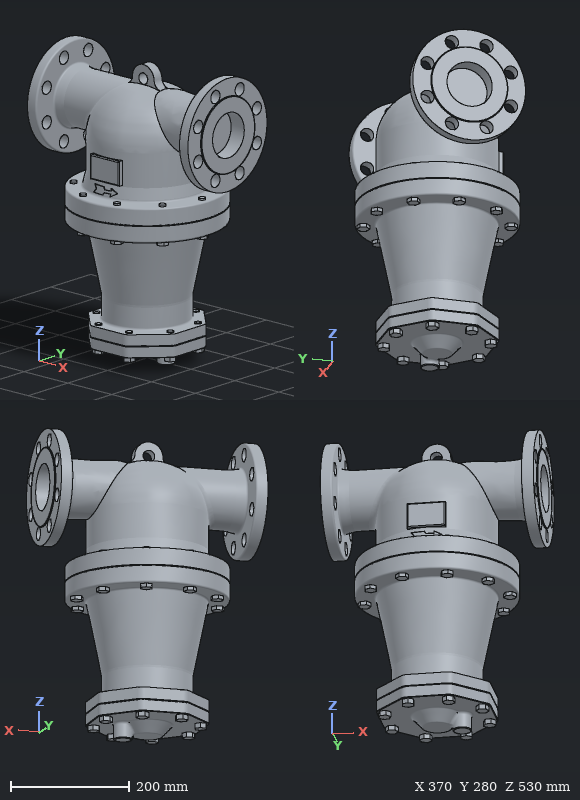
import cadquery as cq
import math


face_to_face = 370.0
end_flange_dia = 200.0
end_flange_back = 162.0
raised_face_dia = 136.0
raised_face_height = 2.0
raised_face_chamfer = 1.2
end_flange_edge = 3.5
end_bolt_circle = 160.0
end_bolt_hole_dia = 23.0
end_bolt_count = 8
bore_dia = 80.0
bore_depth = 30.0
pipe_dia = 104.0
hub_start = 142.0
hub_dia = 111.0
hub_foot_fillet = 4.0
pipe_inner_end = 20.0
pipe_blend_radius = 12.0

outlet_sections = [
    (hub_start, -pipe_dia / 2, pipe_dia / 2),
    (95.0, -48.5, 52.0),
    (65.0, -46.0, 54.5),
    (35.0, -46.0, 50.5),
]

body_dia = 208.0
dome_base_z = -38.6
dome_radius = 93.0
skirt_top_z = -100.0
skirt_base_dia = 218.0
skirt_fillet = 5.0

main_flange_dia = 280.0
main_flange_top = -125.0
main_flange_thickness = 30.0
main_flange_edge = 3.5
gasket_thickness = 1.5
gasket_inset = 4.0
main_bolt_circle = 250.0
main_bolt_count = 10

cone_end_z = -317.0
neck_dia = 155.0
neck_blend_radius = 20.0
cone_root_fillet = 4.0
neck_foot_fillet = 4.5

octagon_width = 196.0
octagon_corner_radius = 15.0
octagon_turn = 22.5
octagon_top = -359.5
octagon_thickness = 20.0
octagon_edge_chamfer = 1.0
octagon_bolt_circle = 182.0
octagon_bolt_count = 8

stud_dia = 12.0
hex_across_flats = 19.0
main_hex_turn = 0.0
octagon_hex_turn = 30.0
main_stud_height = 3.0
main_head_height = 6.5
octagon_stud_height = 1.5
octagon_head_height = 8.5

boss_top_dia = 88.0
boss_bottom_dia = 50.0
boss_height = 20.0
boss_edge_fillet = 4.0
drain_dia = 32.0
drain_x = 43.0
drain_bottom = -430.0
drain_chamfer = 1.5
cover_fillet = 5.0

lug_hole_dia = 20.0
lug_radius = 25.0
lug_center_z = 65.0
lug_thickness = 20.0
lug_foot_z = 51.0
lug_foot_left = 34.0
lug_foot_right = 42.0
lug_flare_radius = 15.5

plate_width = 66.0
plate_top = -53.0
plate_bottom = -97.0
plate_front_y = -108.0
plate_chamfer = 2.0
arrow_z = -112.0
arrow_relief = 1.5

dome_top_z = dome_base_z + dome_radius
main_gasket_top = main_flange_top - main_flange_thickness
main_flange_bottom = main_flange_top - 2 * main_flange_thickness - gasket_thickness
octagon_gasket_top = octagon_top - octagon_thickness
octagon_bottom = octagon_top - 2 * octagon_thickness - gasket_thickness


def disc(diameter, bottom, top):
    return cq.Workplane("XY").workplane(offset=bottom).circle(diameter / 2).extrude(top - bottom)


def upper_body():
    """Domed cylinder widening through a conical skirt onto the main flange."""
    radius = body_dia / 2
    flat_radius = radius - dome_radius
    arc_mid = dome_radius * math.sqrt(0.5)
    skirt_radius = skirt_base_dia / 2
    return (
        cq.Workplane("XZ")
        .moveTo(0, main_flange_top)
        .lineTo(skirt_radius + skirt_fillet, main_flange_top)
        .radiusArc((skirt_radius, main_flange_top + skirt_fillet), skirt_fillet)
        .lineTo(radius, skirt_top_z)
        .lineTo(radius, dome_base_z)
        .threePointArc((flat_radius + arc_mid, dome_base_z + arc_mid), (flat_radius, dome_top_z))
        .lineTo(0, dome_top_z)
        .close()
        .revolve(360, (0, 0, 0), (0, 1, 0))
    )


def inlet_pipe():
    length = hub_start - pipe_inner_end
    return cq.Workplane("YZ").workplane(offset=-hub_start).circle(pipe_dia / 2).extrude(length)


def outlet_pipe():
    """Pipe that bends slightly upwards as it enters the dome."""
    loft = cq.Workplane("YZ")
    previous_x = 0.0
    previous_z = 0.0
    for x, bottom, top in outlet_sections:
        center_z = (top + bottom) / 2
        loft = loft.workplane(offset=x - previous_x).center(0, center_z - previous_z)
        loft = loft.ellipse(pipe_dia / 2, (top - bottom) / 2)
        previous_x = x
        previous_z = center_z
    return loft.loft()


def end_flange():
    """Flange on the -X end with its hub, raised face, bolt holes and blind bore."""
    face = face_to_face / 2
    rim_face = face - raised_face_height
    rim = cq.Workplane("YZ").workplane(offset=-rim_face).circle(end_flange_dia / 2)
    rim = rim.extrude(rim_face - end_flange_back).faces(">X").edges().fillet(end_flange_edge)
    raised = cq.Workplane("YZ").workplane(offset=-face).circle(raised_face_dia / 2)
    raised = raised.extrude(raised_face_height).faces("<X").edges().chamfer(raised_face_chamfer)
    hub = (
        cq.Workplane("YZ").workplane(offset=-end_flange_back).circle(hub_dia / 2)
        .workplane(offset=end_flange_back - hub_start).circle(pipe_dia / 2).loft()
    )
    rim_inner_point = (-end_flange_back, 0, (end_flange_dia + hub_dia) / 4)
    holes = (
        cq.Workplane("YZ").workplane(offset=-face)
        .polarArray(end_bolt_circle / 2, 180 / end_bolt_count, 360, end_bolt_count)
        .circle(end_bolt_hole_dia / 2).extrude(face - end_flange_back)
    )
    bore = cq.Workplane("YZ").workplane(offset=-face).circle(bore_dia / 2).extrude(bore_depth)
    foot = cq.selectors.RadiusNthSelector(0)
    flange = rim.union(hub)
    flange = flange.faces(cq.selectors.NearestToPointSelector(rim_inner_point)).edges(foot)
    flange = flange.fillet(hub_foot_fillet)
    return flange.union(raised).cut(holes).cut(bore)


def main_flanges():
    upper = disc(main_flange_dia, main_gasket_top, main_flange_top)
    upper = upper.faces(">Z").edges().fillet(main_flange_edge)
    gasket_bottom = main_gasket_top - gasket_thickness
    gasket = disc(main_flange_dia - 2 * gasket_inset, gasket_bottom, main_gasket_top)
    lower = disc(main_flange_dia, main_flange_bottom, gasket_bottom)
    lower = lower.faces("<Z").edges().fillet(main_flange_edge)
    return upper.union(gasket).union(lower)


def lower_body():
    """Cone tapering to a cylindrical neck that stands on the octagonal flange."""
    neck_radius = neck_dia / 2
    profile = (
        cq.Workplane("XZ")
        .moveTo(0, octagon_top)
        .lineTo(neck_radius + neck_foot_fillet, octagon_top)
        .radiusArc((neck_radius, octagon_top + neck_foot_fillet), neck_foot_fillet)
        .lineTo(neck_radius, cone_end_z)
        .lineTo(body_dia / 2, main_flange_bottom)
        .lineTo(0, main_flange_bottom)
        .close()
        .revolve(360, (0, 0, 0), (0, 1, 0))
    )
    joint = cq.selectors.BoxSelector(
        (-body_dia, -body_dia, cone_end_z - 1), (body_dia, body_dia, cone_end_z + 1)
    )
    return profile.edges(joint).fillet(neck_blend_radius)


def flanged_lower_body():
    """Main flange pair and lower body, blended where the cone leaves the flange."""
    joined = main_flanges().union(lower_body())
    underside = cq.selectors.NearestToPointSelector((0, main_bolt_circle / 2, main_flange_bottom))
    return joined.faces(underside).edges(cq.selectors.RadiusNthSelector(0)).fillet(cone_root_fillet)


def octagon_plate(width, bottom, top):
    circumscribed_dia = width / math.cos(math.radians(octagon_turn))
    plate = cq.Workplane("XY").workplane(offset=bottom).polygon(8, circumscribed_dia)
    plate = plate.extrude(top - bottom).rotate((0, 0, 0), (0, 0, 1), octagon_turn)
    return plate.edges("|Z").fillet(octagon_corner_radius)


def bolt_ring(circle_dia, count, start_angle, hex_turn, top, stud_height, bottom, head_height):
    """Stud ends above a flange pair and hexagon heads below it."""
    across_corners = hex_across_flats / math.cos(math.pi / 6)
    stud = disc(stud_dia, top, top + stud_height)
    head = cq.Workplane("XY").workplane(offset=bottom - head_height)
    head = head.polygon(6, across_corners).extrude(head_height)
    bolt = stud.add(head.rotate((0, 0, 0), (0, 0, 1), hex_turn))
    ring = cq.Workplane("XY")
    for i in range(count):
        angle = start_angle + i * 360 / count
        for piece in bolt.vals():
            moved = piece.translate(cq.Vector(circle_dia / 2, 0, 0))
            ring.add(moved.rotate(cq.Vector(0, 0, 0), cq.Vector(0, 0, 1), angle))
    return ring


def bottom_boss():
    """Shallow conical boss under the bottom flange."""
    boss_bottom = octagon_bottom - boss_height
    cone = (
        cq.Workplane("XY").workplane(offset=boss_bottom).circle(boss_bottom_dia / 2)
        .workplane(offset=boss_height).circle(boss_top_dia / 2).loft()
    )
    return cone.faces("<Z").edges().fillet(boss_edge_fillet)


def drain():
    stub = disc(drain_dia, drain_bottom, octagon_bottom).faces("<Z").edges().chamfer(drain_chamfer)
    return stub.translate((drain_x, 0, 0))


def octagon_flanges():
    """Upper flange, gasket and the bottom cover with its boss and drain."""
    gasket_bottom = octagon_gasket_top - gasket_thickness
    upper = octagon_plate(octagon_width, octagon_gasket_top, octagon_top)
    gasket = octagon_plate(octagon_width - 2 * gasket_inset, gasket_bottom, octagon_gasket_top)
    cover = octagon_plate(octagon_width, octagon_bottom, gasket_bottom)
    cover = cover.faces("<Z").edges().chamfer(octagon_edge_chamfer)
    fittings = bottom_boss().union(drain())
    cover = cover.union(fittings)
    reach = drain_x + drain_dia
    joint_zone = cq.selectors.BoxSelector(
        (-reach, -reach, octagon_bottom - boss_height + boss_edge_fillet),
        (reach, reach, octagon_bottom + octagon_edge_chamfer / 2),
    )
    cover = cover.edges(joint_zone).edges("not %LINE").fillet(cover_fillet)
    return upper.union(gasket).union(cover)


def lifting_lug():
    """Eye on top of the dome with feet that flare out along the pipes."""
    root_z = 0.0
    return (
        cq.Workplane("XZ")
        .moveTo(-lug_foot_left, root_z)
        .lineTo(-lug_foot_left, lug_foot_z)
        .radiusArc((-lug_radius, lug_center_z), -lug_flare_radius)
        .threePointArc((0, lug_center_z + lug_radius), (lug_radius, lug_center_z))
        .radiusArc((lug_foot_right, lug_foot_z), -lug_flare_radius)
        .lineTo(lug_foot_right, root_z)
        .close()
        .moveTo(0, lug_center_z)
        .circle(lug_hole_dia / 2)
        .extrude(lug_thickness / 2, both=True)
    )


def name_plate():
    height = plate_top - plate_bottom
    plate = cq.Workplane("XZ").center(0, (plate_top + plate_bottom) / 2)
    plate = plate.rect(plate_width, height).extrude(-plate_front_y)
    return plate.faces("<Y").edges().chamfer(plate_chamfer)


def flow_arrow():
    """Raised arrow pointing to +X on the front of the conical skirt."""
    tail = -26.0
    notch = -20.5
    shoulder = -3.0
    shaft_start = 0.0
    head_start = 13.5
    tip = 26.5
    half_height = 7.0
    shaft_half = 2.5
    upper = [
        (tail, half_height),
        (shoulder, half_height),
        (shaft_start, shaft_half),
        (head_start, shaft_half),
        (head_start, half_height),
    ]
    lower = [(x, -z) for x, z in reversed(upper)]
    arrow = cq.Workplane("XZ").center(0, arrow_z)
    arrow = arrow.polyline(upper + [(tip, 0)] + lower + [(notch, 0)]).close().extrude(body_dia)
    skirt_height = skirt_top_z - main_flange_top
    relief_skirt = (
        cq.Workplane("XY").workplane(offset=main_flange_top)
        .circle(skirt_base_dia / 2 + arrow_relief)
        .workplane(offset=skirt_height).circle(body_dia / 2 + arrow_relief).loft()
    )
    return arrow.intersect(relief_skirt)


body = upper_body().union(inlet_pipe())
blend_zone = cq.selectors.BoxSelector(
    (-hub_start, -pipe_dia, -pipe_dia), (-pipe_inner_end, pipe_dia, pipe_dia)
)
body = body.edges(blend_zone).edges("%BSPLINE").fillet(pipe_blend_radius)

result = body.union(outlet_pipe())
result = result.union(lifting_lug())
result = result.union(end_flange()).union(end_flange().mirror("YZ"))
result = result.union(flanged_lower_body()).union(octagon_flanges())
result = result.union(name_plate()).union(flow_arrow())

main_bolts = bolt_ring(main_bolt_circle, main_bolt_count, 0, main_hex_turn, main_flange_top,
                       main_stud_height, main_flange_bottom, main_head_height)
octagon_bolts = bolt_ring(octagon_bolt_circle, octagon_bolt_count, octagon_turn,
                          octagon_hex_turn, octagon_top, octagon_stud_height,
                          octagon_bottom, octagon_head_height)
result = result.union(main_bolts).union(octagon_bolts)